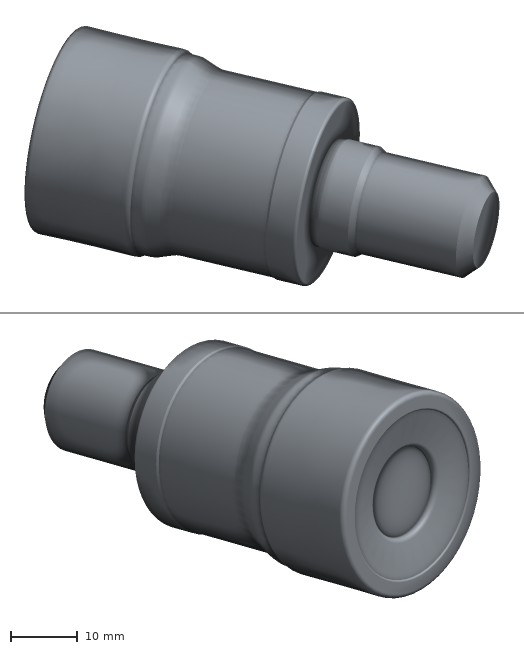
import cadquery as cq
import math


cap_front_radius = 16.0
cap_rear_radius = 15.98
cap_taper_end = 15.4
cap_fillet_start = 16.03
cap_front_fillet = 0.75
cap_rear_fillet = 1.0

rim_radius = 13.4
rim_fillet = 0.3
dish_depth = 1.4
pocket_radius = 7.0
pocket_fillet = 0.9
pocket_depth = 2.5

socket_floor = cap_taper_end

collar_radius = 31.0 / 2

rear_fillet_drop = cap_rear_radius - collar_radius
cap_length = cap_fillet_start + math.sqrt(cap_rear_fillet**2 - (cap_rear_fillet - rear_fillet_drop) ** 2)
barrel_radius = 28.6 / 2
flange_radius = 29.0 / 2
blend_end = 22.95
blend_angle = math.radians(20)
collar_blend_radius = 2.0
barrel_blend_radius = 5.0
flange_start = 37.9
flange_step_length = 0.35
flange_end = 42.8
flange_rear_fillet = 0.5

shoulder_radius = 17.0 / 2
shank_radius = 15.75 / 2
relief_radius = 8.3
relief_end = 43.45
shoulder_start = 44.2
shoulder_end = 49.0
shank_start = 49.95
overall_length = 67.95
tip_chamfer = 2.0


def point_on_circle(centre, radius, angle):
    """Point at the given angle on a circle."""
    return (centre[0] + radius * math.cos(angle), centre[1] + radius * math.sin(angle))


def turn(profile):
    """Revolve a closed half profile, drawn as (x, radius), about the X axis."""
    return profile.close().revolve(360, (0, 0, 0), (1, 0, 0))


def make_cap():
    front_fillet_centre = (cap_front_fillet, cap_front_radius - cap_front_fillet)
    rear_fillet_centre = (cap_fillet_start, cap_rear_radius - cap_rear_fillet)
    rear_fillet_end_angle = math.acos((cap_length - cap_fillet_start) / cap_rear_fillet)

    rim_fillet_centre = (rim_fillet, rim_radius)
    dish_outer_radius = rim_radius - rim_fillet
    pocket_fillet_centre = (dish_depth + pocket_fillet, pocket_radius + pocket_fillet)
    dish_angle = math.atan((dish_depth - rim_fillet) / (dish_outer_radius - pocket_fillet_centre[1]))
    pocket_fillet_start_angle = math.pi + dish_angle
    pocket_fillet_middle_angle = (pocket_fillet_start_angle + 3 * math.pi / 2) / 2

    profile = (
        cq.Workplane("XY")
        .moveTo(pocket_depth, 0)
        .lineTo(pocket_depth, pocket_radius)
        .lineTo(pocket_fillet_centre[0], pocket_radius)
        .threePointArc(
            point_on_circle(pocket_fillet_centre, pocket_fillet, pocket_fillet_middle_angle),
            point_on_circle(pocket_fillet_centre, pocket_fillet, pocket_fillet_start_angle),
        )
        .lineTo(rim_fillet, dish_outer_radius)
        .threePointArc(
            point_on_circle(rim_fillet_centre, rim_fillet, math.radians(225)),
            (0, rim_radius),
        )
        .lineTo(0, front_fillet_centre[1])
        .threePointArc(
            point_on_circle(front_fillet_centre, cap_front_fillet, math.radians(135)),
            (front_fillet_centre[0], cap_front_radius),
        )
        .lineTo(cap_taper_end, cap_rear_radius)
        .lineTo(cap_fillet_start, cap_rear_radius)
        .threePointArc(
            point_on_circle(
                rear_fillet_centre, cap_rear_fillet, (math.pi / 2 + rear_fillet_end_angle) / 2
            ),
            (cap_length, collar_radius),
        )
        .lineTo(socket_floor, collar_radius)
        .lineTo(socket_floor, 0)
    )
    return turn(profile)


def make_holder():
    arc_drop = 1 - math.cos(blend_angle)
    cone_start_radius = collar_radius - collar_blend_radius * arc_drop
    cone_end_radius = barrel_radius + barrel_blend_radius * arc_drop
    cone_length = (cone_start_radius - cone_end_radius) / math.tan(blend_angle)
    cone_end = blend_end - barrel_blend_radius * math.sin(blend_angle)
    cone_start = cone_end - cone_length
    blend_start = cone_start - collar_blend_radius * math.sin(blend_angle)
    collar_centre = (blend_start, collar_radius - collar_blend_radius)
    barrel_centre = (blend_end, barrel_radius + barrel_blend_radius)
    flange_centre = (flange_end - flange_rear_fillet, flange_radius - flange_rear_fillet)

    profile = (
        cq.Workplane("XY")
        .moveTo(socket_floor, 0)
        .lineTo(socket_floor, collar_radius)
        .lineTo(blend_start, collar_radius)
        .threePointArc(
            point_on_circle(collar_centre, collar_blend_radius, math.pi / 2 - blend_angle / 2),
            (cone_start, cone_start_radius),
        )
        .lineTo(cone_end, cone_end_radius)
        .threePointArc(
            point_on_circle(barrel_centre, barrel_blend_radius, -math.pi / 2 - blend_angle / 2),
            (blend_end, barrel_radius),
        )
        .lineTo(flange_start, barrel_radius)
        .lineTo(flange_start + flange_step_length, flange_radius)
        .lineTo(flange_centre[0], flange_radius)
        .threePointArc(
            point_on_circle(flange_centre, flange_rear_fillet, math.radians(45)),
            (flange_end, flange_centre[1]),
        )
        .lineTo(flange_end, relief_radius)
        .lineTo(relief_end, relief_radius)
        .lineTo(shoulder_start, shoulder_radius)
        .lineTo(shoulder_end, shoulder_radius)
        .lineTo(shank_start, shank_radius)
        .lineTo(overall_length - tip_chamfer, shank_radius)
        .lineTo(overall_length, shank_radius - tip_chamfer)
        .lineTo(overall_length, 0)
    )
    return turn(profile)


cap = make_cap()
holder = make_holder()
result = cq.Compound.makeCompound([cap.val(), holder.val()])